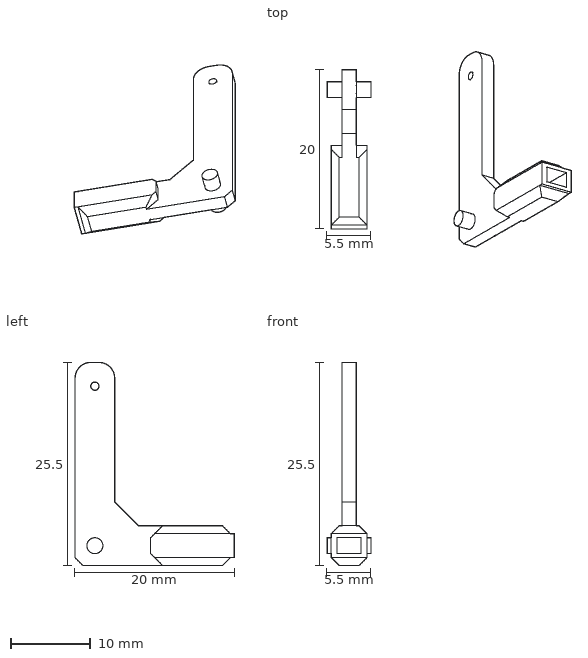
import cadquery as cq


plate_thickness = 1.8
arm_width = 5.0
arm_height = 25.5
tip_radius = 2.0
heel_chamfer = 1.0
gusset_leg = 3.0
arm_back_y = arm_width / 2
arm_front_y = -arm_width / 2

pin_diameter = 2.0
pin_length = 5.5
pin_z = arm_width / 2
hole_diameter = 1.0
hole_spacing = 20.0
hole_z = pin_z + hole_spacing

total_depth = 20.0
block_width = 4.5
block_height = arm_width
block_length = 10.5
block_chamfer = 1.0
rear_chamfer = 1.5
mouth_lip = 0.5
block_front_y = arm_back_y - total_depth
block_rear_y = block_front_y + block_length

leg_end_y = block_rear_y - rear_chamfer

socket_width = 3.0
socket_height = 2.0
end_wall = 1.5
socket_depth = block_length - end_wall


def extrude_across(sketch, width):
    """Extrude a closed YZ sketch symmetrically about the plane X = 0."""
    return sketch.extrude(width / 2, both=True)


def make_plate():
    """L-shaped plate with a gusset in the inner corner and a rounded tip."""
    outline = [
        (arm_back_y, heel_chamfer),
        (arm_back_y, arm_height),
        (arm_front_y, arm_height),
        (arm_front_y, block_height + gusset_leg),
        (arm_front_y - gusset_leg, block_height),
        (leg_end_y, block_height),
        (leg_end_y, 0),
        (arm_back_y - heel_chamfer, 0),
    ]
    plate = extrude_across(cq.Workplane("YZ").polyline(outline).close(), plate_thickness)
    return plate.edges("|X and >Z").fillet(tip_radius)


def make_block():
    """Block with chamfered long edges, sloped ends and a plain lip at its mouth."""
    slope_front_y = block_front_y + mouth_lip
    side_outline = [
        (block_rear_y, rear_chamfer),
        (block_rear_y, block_height - rear_chamfer),
        (leg_end_y, block_height),
        (slope_front_y + block_chamfer, block_height),
        (slope_front_y, block_height - block_chamfer),
        (block_front_y, block_height - block_chamfer),
        (block_front_y, block_chamfer),
        (slope_front_y, block_chamfer),
        (slope_front_y + block_chamfer, 0),
        (leg_end_y, 0),
    ]
    side_shape = extrude_across(cq.Workplane("YZ").polyline(side_outline).close(), block_width)
    cross_section = (
        cq.Workplane("XZ", origin=(0, block_rear_y, block_height / 2))
        .rect(block_width, block_height)
        .extrude(block_length)
        .edges("|Y")
        .chamfer(block_chamfer)
    )
    return side_shape.intersect(cross_section)


def make_pin():
    """Pivot pin standing out on both faces of the plate."""
    return extrude_across(cq.Workplane("YZ").center(0, pin_z).circle(pin_diameter / 2), pin_length)


def make_link_hole():
    """Cutter for the through hole near the tip of the arm."""
    return extrude_across(cq.Workplane("YZ").center(0, hole_z).circle(hole_diameter / 2), pin_length)


def make_socket():
    """Cutter for the blind rectangular socket."""
    return (
        cq.Workplane("XZ", origin=(0, block_front_y, block_height / 2))
        .rect(socket_width, socket_height)
        .extrude(-socket_depth)
    )


result = (
    make_plate()
    .union(make_block())
    .union(make_pin())
    .cut(make_link_hole())
    .cut(make_socket())
)